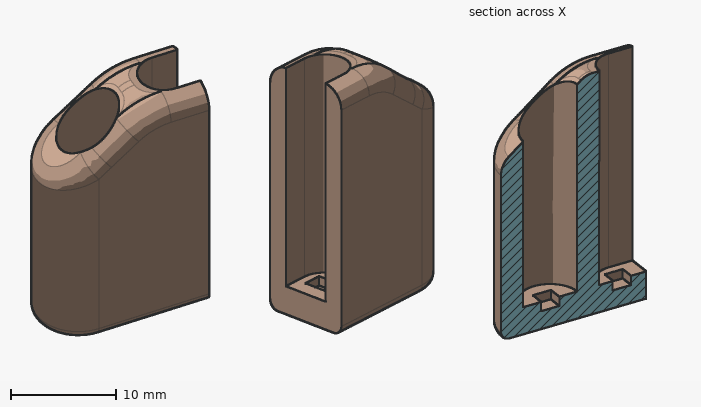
import cadquery as cq
import math

WIDTH = 9.0
LENGTH = 16.2
HEIGHT = 26.22
NOSE_RADIUS = WIDTH / 2
NOSE_CENTER_Y = NOSE_RADIUS - LENGTH

SOCKET_SPACING = 8.0
SLOT_WIDTH = 5.0
SLOT_CENTER_Y = -2.7
BORE_DIAMETER = 6.0
BORE_CENTER_Y = SLOT_CENTER_Y - SOCKET_SPACING
FLOOR_THICKNESS = 3.0

RECESS_WIDTH = 3.0
RECESS_LENGTH = 2.0
RECESS_DEPTH = 1.0

RIDGE_Y = SLOT_CENTER_Y - SOCKET_SPACING / 2
SLOPE_ANGLE = math.radians(36.87)
NOSE_TIP_HEIGHT = HEIGHT - (LENGTH + RIDGE_Y) * math.tan(SLOPE_ANGLE)

TOP_FILLET = 2.2
BASE_FILLET = 1.0

RIDGE_HALF_LENGTH = 0.4
FLARE_END = WIDTH / 2 - TOP_FILLET
FLARE_REACH = FLARE_END - RIDGE_HALF_LENGTH
FLARE_STEPS = 4
TIGHT_TANGENT = TOP_FILLET * math.tan(SLOPE_ANGLE / 2)
WIDE_TANGENT = TIGHT_TANGENT + FLARE_REACH

SADDLE_LENGTH = 6.0
SADDLE_DEPTH = 8.0


def arc_radius(tangent_length):
    """Radius of the ridge arc that touches both planes at this distance from the sharp ridge."""
    return tangent_length / math.tan(SLOPE_ANGLE / 2)


def make_side_prism(half_width):
    """Side outline with a sharp ridge, extruded evenly about the middle plane."""
    return (
        cq.Workplane("YZ")
        .polyline([(0, 0), (0, HEIGHT), (RIDGE_Y, HEIGHT), (-LENGTH, NOSE_TIP_HEIGHT), (-LENGTH, 0)])
        .close()
        .extrude(half_width, both=True)
    )


def make_ridge_section(x, tangent_length):
    """Closed outline at x of the waste between the sharp ridge and its rounding arc."""
    radius = arc_radius(tangent_length)
    arc_top_y = RIDGE_Y + tangent_length
    arc_middle = (
        arc_top_y - radius * math.sin(SLOPE_ANGLE / 2),
        HEIGHT - radius * (1 - math.cos(SLOPE_ANGLE / 2)),
    )
    arc_bottom = (
        RIDGE_Y - tangent_length * math.cos(SLOPE_ANGLE),
        HEIGHT - tangent_length * math.sin(SLOPE_ANGLE),
    )
    return (
        cq.Workplane("YZ", origin=(x, 0, 0))
        .moveTo(arc_top_y, HEIGHT)
        .threePointArc(arc_middle, arc_bottom)
        .lineTo(RIDGE_Y, HEIGHT)
        .close()
    )


def make_flare():
    """Ridge waste on the +X half, where the rounding widens from tight to wide."""
    sections = []
    for step in range(FLARE_STEPS + 1):
        angle = step / FLARE_STEPS * math.pi / 2
        x = RIDGE_HALF_LENGTH + FLARE_REACH * math.sin(angle)
        tangent_length = TIGHT_TANGENT + FLARE_REACH * (1 - math.cos(angle))
        sections.append(make_ridge_section(x, tangent_length).val())
    return cq.Workplane(cq.Solid.makeLoft(sections))


def make_saddle():
    """Middle of the ridge between the side fillets, with its flared rounding."""
    envelope = (
        cq.Workplane("XY", origin=(0, RIDGE_Y, HEIGHT - SADDLE_DEPTH))
        .rect(2 * FLARE_END, SADDLE_LENGTH)
        .extrude(SADDLE_DEPTH)
    )
    middle = make_ridge_section(-RIDGE_HALF_LENGTH, TIGHT_TANGENT).extrude(2 * RIDGE_HALF_LENGTH)
    flare = make_flare()
    saddle = make_side_prism(FLARE_END).intersect(envelope)
    return saddle.cut(middle).cut(flare).cut(flare.mirror("YZ"))


def make_body():
    """Round-nosed block with a sloped top, filleted rims and a saddle on the ridge."""
    half_width = WIDTH / 2
    block = (
        cq.Workplane("XY")
        .moveTo(-half_width, 0)
        .lineTo(-half_width, NOSE_CENTER_Y)
        .threePointArc((0, -LENGTH), (half_width, NOSE_CENTER_Y))
        .lineTo(half_width, 0)
        .close()
        .extrude(HEIGHT)
    )
    body = block.intersect(make_side_prism(half_width))

    ridge = cq.selectors.NearestToPointSelector((0, RIDGE_Y, HEIGHT))
    body = body.edges(ridge).fillet(arc_radius(WIDE_TANGENT))

    upper_region = cq.selectors.BoxSelector(
        (-WIDTH, -2 * LENGTH, BASE_FILLET),
        (WIDTH, -BASE_FILLET, 2 * HEIGHT),
    )
    body = body.edges(upper_region).edges("not |Z").edges("not |X").fillet(TOP_FILLET)
    body = body.faces("<Z").edges("not >Y").fillet(BASE_FILLET)
    return body.union(make_saddle())


def make_bore():
    """Round socket that opens through the slope."""
    return (
        cq.Workplane("XY", origin=(0, BORE_CENTER_Y, FLOOR_THICKNESS))
        .circle(BORE_DIAMETER / 2)
        .extrude(HEIGHT)
    )


def make_slot():
    """Round-ended socket that opens through the top and the back."""
    slot_end = (
        cq.Workplane("XY", origin=(0, SLOT_CENTER_Y, FLOOR_THICKNESS))
        .circle(SLOT_WIDTH / 2)
        .extrude(HEIGHT)
    )
    slot_mouth = (
        cq.Workplane("XY", origin=(0, SLOT_CENTER_Y / 2, FLOOR_THICKNESS))
        .rect(SLOT_WIDTH, -SLOT_CENTER_Y)
        .extrude(HEIGHT)
    )
    return slot_end.union(slot_mouth)


def make_recess(center_y):
    """Rectangular recess sunk into a socket floor."""
    return (
        cq.Workplane("XY", origin=(0, center_y, FLOOR_THICKNESS))
        .rect(RECESS_WIDTH, RECESS_LENGTH)
        .extrude(-RECESS_DEPTH)
    )


holder = make_body().cut(make_bore()).cut(make_slot())
for socket_y in (BORE_CENTER_Y, SLOT_CENTER_Y):
    holder = holder.cut(make_recess(socket_y))

result = cq.Workplane(holder.solids().val())